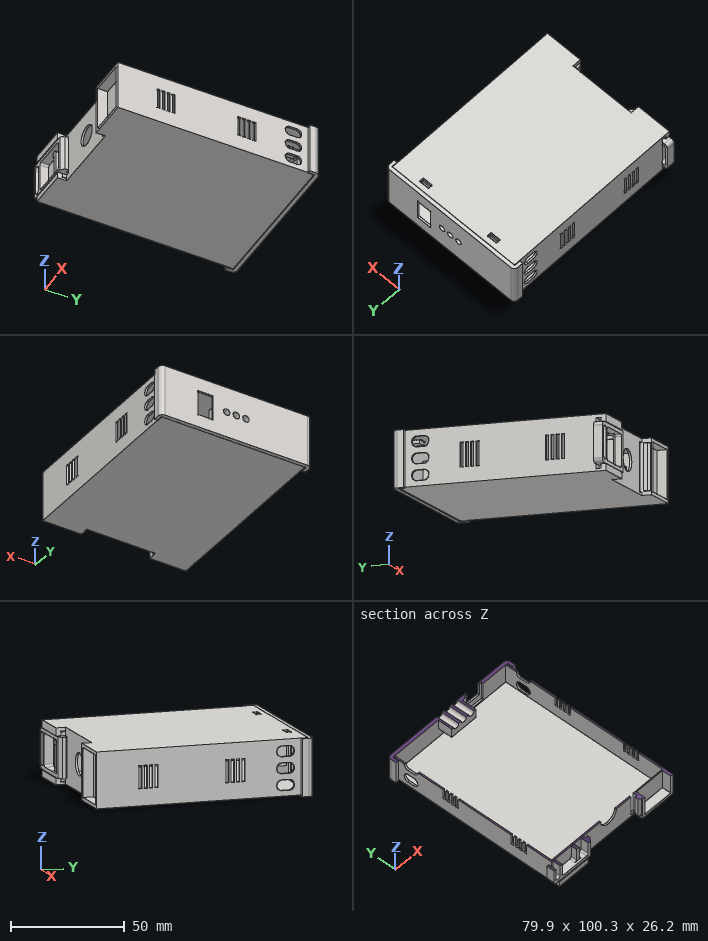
import cadquery as cq


COVER_HEIGHT = 26.2
TOP = COVER_HEIGHT / 2

HOUSING_WIDTH = 74.7
HOUSING_HEIGHT = 25.7
HOUSING_BACK = 98.3
WALL = 1.6
SIDE_WALL = 1.0
RECESS_DEPTH = 4.6
FRONT_WALL = 1.0
LEFT_FOOT_END = -18.4
RIGHT_FOOT_START = 17.2
HALF_WIDTH = HOUSING_WIDTH / 2
BOTTOM = TOP - HOUSING_HEIGHT

FRONT_HOLE_DIAMETER = 10.2
FOOT_POCKET_WALL = 1.6
FOOT_POCKET_DEPTH = 4.9

LIP_PROJECTION = 1.2
LIP_BACK = 3.4
LIP_FRONT = 0.4
LIP_CHAMFER_LENGTH = 1.0
LIP_LENGTH = 21.7
LIP_SLIT_WIDTH = 2.3
LIP_SLIT_LENGTH = 22.5

VENT_COUNT = 4
VENT_PITCH = 2.5
VENT_WIDTH = 1.4
VENT_HEIGHT = 11.1
FAR_VENT_RISE = 0.8
VENT_GROUP_CENTERS = (24.2, 64.6)

OVAL_COUNT = 3
OVAL_PITCH = 7.6
OVAL_LENGTH = 8.1
OVAL_HEIGHT = 4.8
OVAL_CENTER_Y = 88.0

CATCH_OFFSET = 20.8
CATCH_WIDTH = 5.4
CATCH_BACK = 95.4
CATCH_LENGTH = 2.3

COVER_WIDTH = 78.6
COVER_BACK = 100.3
COVER_LIP_LENGTH = 5.2
COVER_LIP_GAP = 0.2
COVER_CORNER_RADIUS = 2.2

LIGHT_COUNT = 3
LIGHT_PITCH = 5.0
LIGHT_DIAMETER = 3.3
LIGHT_BLOCK_WIDTH = 16.0
LIGHT_BLOCK_HEIGHT = 10.4
LIGHT_BLOCK_FRONT = 90.4

WINDOW_CENTER_X = 16.0
WINDOW_CENTER_Z = -0.3
WINDOW_WIDTH = 8.0
WINDOW_HEIGHT = 12.6
WINDOW_SEAT_WIDTH = 11.0
WINDOW_SEAT_HEIGHT = 19.7
WINDOW_SEAT_DEPTH = 1.0

CATCH_ARM_THICKNESS = 1.6
CATCH_ARM_FRONT = 93.8
CATCH_TOOTH_HEIGHT = 1.4
CATCH_TOOTH_WIDTH = 5.0

LATCH_LEFT = -40.6
LATCH_HEIGHT = 18.7
LATCH_FRONT = 0.3
LATCH_CORNER_RADIUS = 1.9
HOOK_ROOT_X = -16.5
HOOK_TIP_X = -14.9
HOOK_TIP_FRONT = 2.0
HOOK_TIP_BACK = 3.6
FLANGE_LEFT = -34.1
FLANGE_FRONT = 2.4
FLANGE_HEIGHT = 22.3
FLANGE_SLOT_HEIGHT = 22.9
THROAT_HEIGHT = 18.9

OPENING_HEIGHT = 15.2
GRIP_LEFT = -39.3
GRIP_RIGHT = -36.6
GRIP_RADIUS = 1.3
POCKET_LEFT = -35.1
POCKET_RIGHT = -18.2
POCKET_RADIUS = 1.0

SPRING_CENTER_X = -23.6
SPRING_THICKNESS = 1.9
SPRING_FRONT = 1.5
SPRING_TOP = 6.7
SPRING_FOOT_RADIUS = 1.0
SPRING_NOSE_PROJECTION = 0.7
SPRING_NOSE_HEIGHT = 2.6


def block(x_range, y_range, z_range):
    """Axis-aligned box between the given limits."""
    (x0, x1), (y0, y1), (z0, z1) = x_range, y_range, z_range
    return cq.Workplane("XY").box(x1 - x0, y1 - y0, z1 - z0, centered=False).translate((x0, y0, z0))


def centered(size, middle=0.0):
    """Limits of a span of the given size about its middle."""
    return (middle - size / 2, middle + size / 2)


def front_sketch(y):
    """Workplane at the given Y with local axes X and Z; negative lengths extrude toward +Y."""
    return cq.Workplane("XZ", origin=(0, y, 0))


def row(count, pitch):
    """Evenly spaced offsets about zero."""
    return [(i - (count - 1) / 2) * pitch for i in range(count)]


def housing_shell():
    outline = [
        (-HALF_WIDTH, 0),
        (LEFT_FOOT_END, 0),
        (LEFT_FOOT_END, RECESS_DEPTH),
        (RIGHT_FOOT_START, RECESS_DEPTH),
        (RIGHT_FOOT_START, 0),
        (HALF_WIDTH, 0),
        (HALF_WIDTH, HOUSING_BACK),
        (-HALF_WIDTH, HOUSING_BACK),
    ]
    shell = cq.Workplane("XY").polyline(outline).close().extrude(HOUSING_HEIGHT).translate((0, 0, BOTTOM))
    cavity_front = RECESS_DEPTH + FRONT_WALL
    cavity = block(
        centered(HOUSING_WIDTH - 2 * SIDE_WALL),
        (cavity_front, HOUSING_BACK),
        (BOTTOM + WALL, TOP - WALL),
    )
    return shell.cut(cavity)


def right_foot_pocket():
    """Blind pocket in the front of the right foot, leaving a web toward the cavity."""
    return block(
        (RIGHT_FOOT_START + FOOT_POCKET_WALL, HALF_WIDTH - FOOT_POCKET_WALL),
        (0, FOOT_POCKET_DEPTH),
        (BOTTOM + FOOT_POCKET_WALL, TOP - FOOT_POCKET_WALL),
    )


def rail_lip():
    tip_x = RIGHT_FOOT_START - LIP_PROJECTION
    profile = [
        (RIGHT_FOOT_START, LIP_FRONT),
        (tip_x, LIP_FRONT + LIP_CHAMFER_LENGTH),
        (tip_x, LIP_BACK),
        (RIGHT_FOOT_START, LIP_BACK),
    ]
    return cq.Workplane("XY").polyline(profile).close().extrude(LIP_LENGTH / 2, both=True)


def lip_slit():
    return block(
        (RIGHT_FOOT_START - LIP_SLIT_WIDTH, RIGHT_FOOT_START),
        (RECESS_DEPTH, RECESS_DEPTH + FRONT_WALL),
        centered(LIP_SLIT_LENGTH),
    )


def front_hole():
    return front_sketch(RECESS_DEPTH).circle(FRONT_HOLE_DIAMETER / 2).extrude(-FRONT_WALL)


def side_vents():
    cuts = cq.Workplane("XY")
    left_z = centered(VENT_HEIGHT)
    right_z = (left_z[0] + FAR_VENT_RISE, left_z[1])
    for group_y in VENT_GROUP_CENTERS:
        for offset in row(VENT_COUNT, VENT_PITCH):
            y_range = centered(VENT_WIDTH, group_y + offset)
            cuts = cuts.add(block((-HALF_WIDTH, -HALF_WIDTH + SIDE_WALL), y_range, left_z))
            cuts = cuts.add(block((HALF_WIDTH - SIDE_WALL, HALF_WIDTH), y_range, right_z))
    return cuts.combine()


def side_ovals():
    centers = [(OVAL_CENTER_Y, z) for z in row(OVAL_COUNT, OVAL_PITCH)]
    return (
        cq.Workplane("YZ")
        .pushPoints(centers)
        .slot2D(OVAL_LENGTH, OVAL_HEIGHT)
        .extrude(HALF_WIDTH, both=True)
    )


def catch_window(center_x):
    return block(
        centered(CATCH_WIDTH, center_x),
        (CATCH_BACK - CATCH_LENGTH, CATCH_BACK),
        (TOP - WALL, TOP),
    )


def latch_channel():
    """T-shaped channel across the left foot in which the latch slides."""
    x_range = (-HALF_WIDTH, LEFT_FOOT_END)
    throat = block(x_range, (0, RECESS_DEPTH), centered(THROAT_HEIGHT))
    flange_slot = block(x_range, (FLANGE_FRONT, RECESS_DEPTH), centered(FLANGE_SLOT_HEIGHT))
    return throat.union(flange_slot)


def make_housing():
    housing = housing_shell().cut(right_foot_pocket()).cut(lip_slit()).union(rail_lip())
    housing = housing.cut(front_hole()).cut(side_vents()).cut(side_ovals()).cut(latch_channel())
    for side in (-1, 1):
        housing = housing.cut(catch_window(side * CATCH_OFFSET))
    return housing


def cover_cap():
    """Back plate with a rounded lip down each side of the housing."""
    z_range = centered(COVER_HEIGHT)
    cap = block(centered(COVER_WIDTH), (COVER_BACK - COVER_LIP_LENGTH, COVER_BACK), z_range)
    cap = cap.edges("|Z and >Y").fillet(COVER_CORNER_RADIUS)
    seat = block(
        centered(HOUSING_WIDTH + 2 * COVER_LIP_GAP),
        (COVER_BACK - COVER_LIP_LENGTH, HOUSING_BACK),
        z_range,
    )
    return cap.cut(seat)


def light_block():
    return block(
        centered(LIGHT_BLOCK_WIDTH),
        (LIGHT_BLOCK_FRONT, HOUSING_BACK),
        centered(LIGHT_BLOCK_HEIGHT),
    )


def light_holes():
    centers = [(x, 0) for x in row(LIGHT_COUNT, LIGHT_PITCH)]
    return (
        front_sketch(LIGHT_BLOCK_FRONT)
        .pushPoints(centers)
        .circle(LIGHT_DIAMETER / 2)
        .extrude(LIGHT_BLOCK_FRONT - COVER_BACK)
    )


def cover_window():
    """Through window with a wider shallow seat on the inner face."""
    window = block(
        centered(WINDOW_WIDTH, WINDOW_CENTER_X),
        (HOUSING_BACK, COVER_BACK),
        centered(WINDOW_HEIGHT, WINDOW_CENTER_Z),
    )
    seat = block(
        centered(WINDOW_SEAT_WIDTH, WINDOW_CENTER_X),
        (HOUSING_BACK, HOUSING_BACK + WINDOW_SEAT_DEPTH),
        centered(WINDOW_SEAT_HEIGHT, WINDOW_CENTER_Z),
    )
    return window.union(seat)


def catch_arm(center_x):
    """Snap arm under the top wall, with a sloped tooth standing in the catch window."""
    arm_top = TOP - WALL
    arm_bottom = arm_top - CATCH_ARM_THICKNESS
    profile = [
        (HOUSING_BACK, arm_bottom),
        (CATCH_ARM_FRONT, arm_bottom),
        (CATCH_ARM_FRONT, arm_top),
        (CATCH_BACK, arm_top + CATCH_TOOTH_HEIGHT),
        (CATCH_BACK, arm_top),
        (HOUSING_BACK, arm_top),
    ]
    arm = cq.Workplane("YZ").polyline(profile).close().extrude(CATCH_TOOTH_WIDTH / 2, both=True)
    return arm.translate((center_x, 0, 0))


def make_cover():
    cover = cover_cap().union(light_block()).cut(light_holes()).cut(cover_window())
    for side in (-1, 1):
        cover = cover.union(catch_arm(side * CATCH_OFFSET))
    return cover


def latch_body():
    profile = [
        (LATCH_LEFT, LATCH_FRONT),
        (HOOK_ROOT_X, LATCH_FRONT),
        (HOOK_TIP_X, HOOK_TIP_FRONT),
        (HOOK_TIP_X, HOOK_TIP_BACK),
        (HOOK_ROOT_X, HOOK_TIP_BACK),
        (HOOK_ROOT_X, RECESS_DEPTH),
        (LATCH_LEFT, RECESS_DEPTH),
    ]
    body = cq.Workplane("XY").polyline(profile).close().extrude(LATCH_HEIGHT / 2, both=True)
    body = body.edges("|Y and <X").fillet(LATCH_CORNER_RADIUS)
    flange = block((FLANGE_LEFT, LEFT_FOOT_END), (FLANGE_FRONT, RECESS_DEPTH), centered(FLANGE_HEIGHT))
    return body.union(flange)


def latch_opening(x_left, x_right, corner_radius):
    """Opening through the latch with rounded corners."""
    opening = block((x_left, x_right), (LATCH_FRONT, RECESS_DEPTH), centered(OPENING_HEIGHT))
    return opening.edges("|Y").fillet(corner_radius)


def spring_finger():
    """Upright finger with a round top, a nose toward -X and a flared foot."""
    left = SPRING_CENTER_X - SPRING_THICKNESS / 2
    right = SPRING_CENTER_X + SPRING_THICKNESS / 2
    nose_x = left - SPRING_NOSE_PROJECTION
    floor = -OPENING_HEIGHT / 2
    shoulder = SPRING_TOP - SPRING_THICKNESS / 2
    nose_bottom = SPRING_TOP - SPRING_NOSE_HEIGHT
    return (
        front_sketch(SPRING_FRONT)
        .moveTo(left - SPRING_FOOT_RADIUS, floor)
        .lineTo(right + SPRING_FOOT_RADIUS, floor)
        .radiusArc((right, floor + SPRING_FOOT_RADIUS), SPRING_FOOT_RADIUS)
        .lineTo(right, shoulder)
        .threePointArc((SPRING_CENTER_X, SPRING_TOP), (nose_x, shoulder))
        .lineTo(nose_x, nose_bottom)
        .lineTo(left, nose_bottom)
        .lineTo(left, floor + SPRING_FOOT_RADIUS)
        .radiusArc((left - SPRING_FOOT_RADIUS, floor), SPRING_FOOT_RADIUS)
        .close()
        .extrude(SPRING_FRONT - RECESS_DEPTH)
    )


def make_latch():
    latch = latch_body().cut(latch_opening(GRIP_LEFT, GRIP_RIGHT, GRIP_RADIUS))
    return latch.cut(latch_opening(POCKET_LEFT, POCKET_RIGHT, POCKET_RADIUS)).union(spring_finger())


housing = make_housing()
cover = make_cover()
latch = make_latch()

result = cq.Compound.makeCompound([housing.val(), cover.val(), latch.val()])